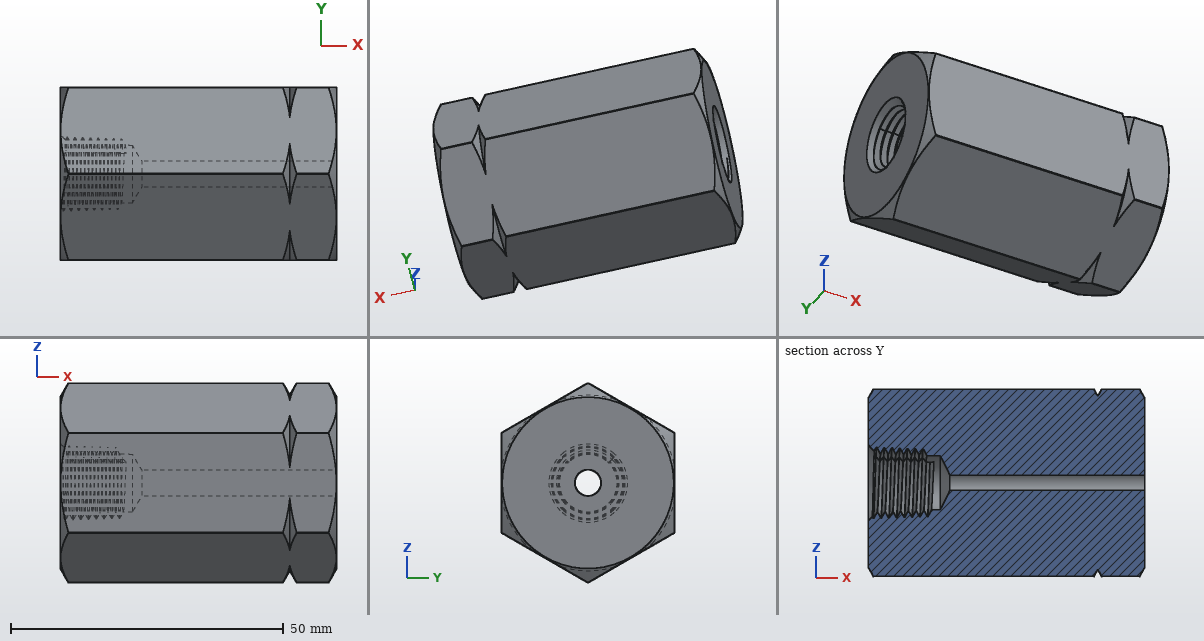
import cadquery as cq
import math

length = 50.8
across_flats = 31.8
corner_diameter = 36.65
end_face_diameter = 31.5
end_chamfer_angle = 30.0

groove_to_end = 8.65
groove_root_radius = 16.15
groove_included_angle = 60.0

mouth_radius = 7.2
mouth_chamfer_angle = 45.0
bore_mouth_radius = 5.7
taper = 1 / 32
bore_depth = 13.2
drill_tip_angle = 118.0
through_radius = 2.4

pitch = 1.4
height_per_pitch = 0.8
thread_flank_angle = 30.0
root_flat = 0.05
thread_overlap = 0.025
thread_turns = 8
thread_start_angle = 135.0

thread_height = height_per_pitch * pitch
corner_radius = corner_diameter / 2
end_face_radius = end_face_diameter / 2
chamfer_length = (corner_radius - end_face_radius) * math.tan(math.radians(end_chamfer_angle))
groove_x = length - groove_to_end
groove_depth = corner_radius - groove_root_radius
groove_half_width = groove_depth * math.tan(math.radians(groove_included_angle / 2))


def turned(points):
    """Revolve an (x, radius) outline about the X axis."""
    return cq.Workplane("XZ").polyline(points).close().revolve(360, (0, 0, 0), (1, 0, 0))


def hex_body():
    """Hexagonal bar, corners up and down, turned to chamfered ends and a V-groove."""
    across_corners = across_flats / math.cos(math.radians(30))
    bar = (
        cq.Workplane("YZ")
        .transformed(rotate=(0, 0, 90))
        .polygon(6, across_corners)
        .extrude(length)
    )
    envelope = turned([
        (0, 0),
        (0, end_face_radius),
        (chamfer_length, corner_radius),
        (groove_x - groove_half_width, corner_radius),
        (groove_x, groove_root_radius),
        (groove_x + groove_half_width, corner_radius),
        (length - chamfer_length, corner_radius),
        (length, end_face_radius),
        (length, 0),
    ])
    return bar.intersect(envelope)


def bore():
    """Chamfered mouth, tapered bore, drill-point cone and the small through hole."""
    chamfer_slope = math.tan(math.radians(mouth_chamfer_angle))
    chamfer_depth = (mouth_radius - bore_mouth_radius) / (chamfer_slope - taper)
    bore_end_radius = bore_mouth_radius - taper * bore_depth
    cone_length = (bore_end_radius - through_radius) / math.tan(math.radians(drill_tip_angle / 2))
    return turned([
        (0, 0),
        (0, mouth_radius),
        (chamfer_depth, bore_mouth_radius - taper * chamfer_depth),
        (bore_depth, bore_end_radius),
        (bore_depth + cone_length, through_radius),
        (length, through_radius),
        (length, 0),
    ])


def thread_turn(start_x):
    """One turn of the right-hand tapered V-thread groove, beginning at depth start_x."""
    crest_radius = bore_mouth_radius - taper * start_x
    inner_radius = crest_radius - thread_overlap
    root_radius = crest_radius + thread_height
    half_root = root_flat / 2
    half_mouth = half_root + (root_radius - inner_radius) * math.tan(math.radians(thread_flank_angle))
    profile = [
        (inner_radius, -half_mouth),
        (root_radius, -half_root),
        (root_radius, half_root),
        (inner_radius, half_mouth),
    ]
    taper_angle = math.degrees(math.atan(taper))
    helices = [
        cq.Wire.makeHelix(pitch, pitch, radius, center=cq.Vector(0, 0, offset), angle=-taper_angle)
        for radius, offset in profile
    ]
    faces = [
        cq.Face.makeRuledSurface(helix, helices[(i + 1) % len(helices)])
        for i, helix in enumerate(helices)
    ]
    start_corners = [helix.startPoint() for helix in helices]
    end_corners = [helix.endPoint() for helix in helices]
    for corners in (start_corners, end_corners):
        faces.append(cq.Face.makeFromWires(cq.Wire.makePolygon(corners, close=True)))
    groove = cq.Solid.makeSolid(cq.Shell.makeShell(faces)).fix()
    return (
        cq.Workplane(obj=groove)
        .rotate((0, 0, 0), (0, 0, 1), thread_start_angle)
        .rotate((0, 0, 0), (0, 1, 0), 90)
        .translate((start_x, 0, 0))
    )


result = hex_body().cut(bore())
for turn in range(thread_turns):
    result = result.cut(thread_turn(turn * pitch), clean=False)